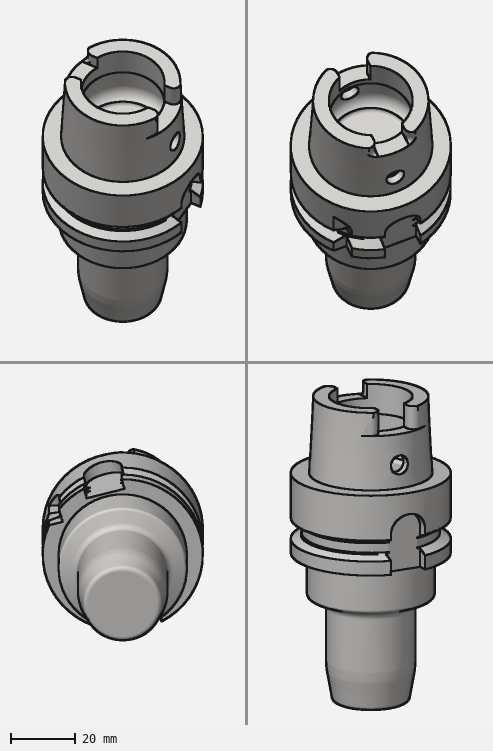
import math

import cadquery as cq


shank_length = 24.9
overall_length = 98.9
tip_z = shank_length - overall_length

shank_base_radius = 19.24
taper_ratio = 9.98
shank_end_radius = shank_base_radius - shank_length / taper_ratio / 2
entry_bore_radius = 26.04 / 2
entry_bore_depth = 9.7
undercut_radius = 32.08 / 2
undercut_floor_depth = 23.5
undercut_fillet = 4.0
bore_floor_fillet = 1.25
cross_hole_diameter = 6.0
cross_hole_z = 7.5

drive_slot_width = 10.46
slot_corner_radius = 2.3
slot_corner_x = 13.95
shallow_slot_depth = 4.6
deep_slot_depth = 7.5
shallow_slot_fillet = 1.5
slot_flank_length = 4.0
slot_outer_x = shank_base_radius + 1.0
edge_tolerance = 0.01

flange_radius = 49.94 / 2
flange_width = 26.0
groove_center_z = -18.04
groove_floor_radius = 21.55
groove_floor_width = 3.75
groove_mouth_width = 6.8
groove_root_radius = 0.5

key_slot_width = 12.16
key_slot_top_z = -6.9
key_slot_floor = 20.95
notch_floor = 15.4
notch_center_y = 21.4

body_radius = 20.0
neck_radius = 14.0
shoulder_start_z = -39.8
shoulder_angle = math.radians(20)
shoulder_edge_radius = 1.2
shoulder_root_radius = 2.5
nose_start_z = -62.8
nose_angle = math.radians(10)
nose_blend_radius = 20.0
tip_edge_radius = 1.5


def rounded_corner(before, corner, after, radius):
    """Start, middle and end of the arc that rounds a corner between two neighbours."""
    corner = cq.Vector(*corner)
    to_before = (cq.Vector(*before) - corner).normalized()
    to_after = (cq.Vector(*after) - corner).normalized()
    half_angle = to_before.getAngle(to_after) / 2
    setback = radius / math.tan(half_angle)
    center_gap = radius / math.sin(half_angle)
    bisector = (to_before + to_after).normalized()
    points = (
        corner + to_before * setback,
        corner + bisector * (center_gap - radius),
        corner + to_after * setback,
    )
    return [(point.x, point.y) for point in points]


def outer_body():
    """Revolved outside: shank taper, flange with groove, shoulder, neck and nose."""
    floor_half = groove_floor_width / 2
    mouth_half = groove_mouth_width / 2
    shoulder_drop = (body_radius - neck_radius) * math.tan(shoulder_angle)
    shoulder_end_z = shoulder_start_z - shoulder_drop
    tip_radius = neck_radius - (nose_start_z - tip_z) * math.tan(nose_angle)

    groove_top = (flange_radius, groove_center_z + mouth_half)
    groove_upper_root = (groove_floor_radius, groove_center_z + floor_half)
    groove_lower_root = (groove_floor_radius, groove_center_z - floor_half)
    groove_bottom = (flange_radius, groove_center_z - mouth_half)
    body_top = (body_radius, -flange_width)
    shoulder_edge = (body_radius, shoulder_start_z)
    shoulder_root = (neck_radius, shoulder_end_z)
    nose_start = (neck_radius, nose_start_z)
    tip_edge = (tip_radius, tip_z)
    tip_center = (0, tip_z)

    upper_root_arc = rounded_corner(
        groove_top, groove_upper_root, groove_lower_root, groove_root_radius
    )
    lower_root_arc = rounded_corner(
        groove_upper_root, groove_lower_root, groove_bottom, groove_root_radius
    )
    edge_arc = rounded_corner(body_top, shoulder_edge, shoulder_root, shoulder_edge_radius)
    root_arc = rounded_corner(shoulder_edge, shoulder_root, nose_start, shoulder_root_radius)
    nose_arc = rounded_corner(shoulder_root, nose_start, tip_edge, nose_blend_radius)
    tip_arc = rounded_corner(nose_start, tip_edge, tip_center, tip_edge_radius)

    profile = (
        cq.Workplane("XZ")
        .moveTo(0, shank_length)
        .lineTo(shank_end_radius, shank_length)
        .lineTo(shank_base_radius, 0)
        .lineTo(flange_radius, 0)
        .lineTo(*groove_top)
    )
    for start, middle, end in (upper_root_arc, lower_root_arc):
        profile = profile.lineTo(*start).threePointArc(middle, end)
    profile = profile.lineTo(*groove_bottom).lineTo(flange_radius, -flange_width).lineTo(*body_top)
    for start, middle, end in (edge_arc, root_arc, nose_arc, tip_arc):
        profile = profile.lineTo(*start).threePointArc(middle, end)
    return profile.lineTo(*tip_center).close().revolve(360, (0, 0, 0), (0, 1, 0))


def bore_section(radius, top_depth, bottom_depth):
    """Cylinder on the axis between two depths below the shank end."""
    return (
        cq.Workplane("XY", origin=(0, 0, shank_length - bottom_depth))
        .circle(radius)
        .extrude(bottom_depth - top_depth)
    )


def shank_bore():
    """Blind bore with a wider undercut part way down, both with filleted floors."""
    bore_depth = undercut_floor_depth + bore_floor_fillet
    bore = bore_section(entry_bore_radius, 0, bore_depth)
    bore = bore.faces("<Z").edges().fillet(bore_floor_fillet)
    undercut = bore_section(undercut_radius, entry_bore_depth, undercut_floor_depth)
    undercut = undercut.faces("<Z").edges().fillet(undercut_fillet)
    return bore.union(undercut)


def cross_hole():
    """Hole through both shank walls along X."""
    length = 2 * shank_base_radius
    return (
        cq.Workplane("YZ", origin=(-shank_base_radius, 0, cross_hole_z))
        .circle(cross_hole_diameter / 2)
        .extrude(length)
    )


def drive_slot(side, depth, bottom_fillet=0):
    """Open slot in the shank end on the given X side, its mouth rounded into the taper."""
    half_width = drive_slot_width / 2
    corner_y = half_width + slot_corner_radius
    end_angle = math.atan2(corner_y, slot_corner_x)
    mid_angle = (end_angle - math.pi / 2) / 2

    def on_corner(angle):
        x = slot_corner_x + slot_corner_radius * math.cos(angle)
        y = corner_y + slot_corner_radius * math.sin(angle)
        return x, y

    arc_start = (slot_corner_x, half_width)
    arc_middle = on_corner(mid_angle)
    arc_end = on_corner(end_angle)
    flank_end = (
        arc_end[0] - slot_flank_length * math.sin(end_angle),
        arc_end[1] + slot_flank_length * math.cos(end_angle),
    )

    def mirrored(point):
        return point[0], -point[1]

    floor_z = shank_length - depth
    mouth = (
        cq.Workplane("XY", origin=(0, 0, floor_z))
        .moveTo(*arc_start)
        .threePointArc(arc_middle, arc_end)
        .lineTo(*flank_end)
        .lineTo(slot_outer_x, flank_end[1])
        .lineTo(slot_outer_x, -flank_end[1])
        .lineTo(*mirrored(flank_end))
        .lineTo(*mirrored(arc_end))
        .threePointArc(mirrored(arc_middle), mirrored(arc_start))
        .close()
        .extrude(depth)
    )
    if bottom_fillet:
        rounded_edges = cq.selectors.BoxSelector(
            (slot_corner_x + edge_tolerance, -corner_y - slot_flank_length, floor_z - edge_tolerance),
            (slot_corner_x + slot_corner_radius, corner_y + slot_flank_length, floor_z + edge_tolerance),
        )
        mouth = mouth.edges(rounded_edges).fillet(bottom_fillet)
    channel = cq.Workplane("XY", origin=(0, 0, floor_z)).rect(slot_outer_x, drive_slot_width)
    channel = channel.extrude(depth).translate((slot_outer_x / 2, 0, 0))
    slot = mouth.union(channel)
    if side < 0:
        slot = slot.mirror("YZ")
    return slot


def rim_slot(side, floor_x, center_y):
    """Round-topped slot cut into the flange rim along X, open at the flange's lower face."""
    radius = key_slot_width / 2
    arc_center_z = key_slot_top_z - radius
    slot = (
        cq.Workplane("YZ", origin=(floor_x, center_y, 0))
        .moveTo(-radius, -flange_width)
        .lineTo(-radius, arc_center_z)
        .threePointArc((0, key_slot_top_z), (radius, arc_center_z))
        .lineTo(radius, -flange_width)
        .close()
        .extrude(flange_radius)
    )
    if side < 0:
        slot = slot.mirror("YZ")
    return slot


result = (
    outer_body()
    .cut(shank_bore())
    .cut(cross_hole())
    .cut(drive_slot(-1, shallow_slot_depth, shallow_slot_fillet))
    .cut(drive_slot(1, deep_slot_depth))
    .cut(rim_slot(-1, key_slot_floor, 0))
    .cut(rim_slot(1, key_slot_floor, 0))
    .cut(rim_slot(-1, notch_floor, notch_center_y))
)